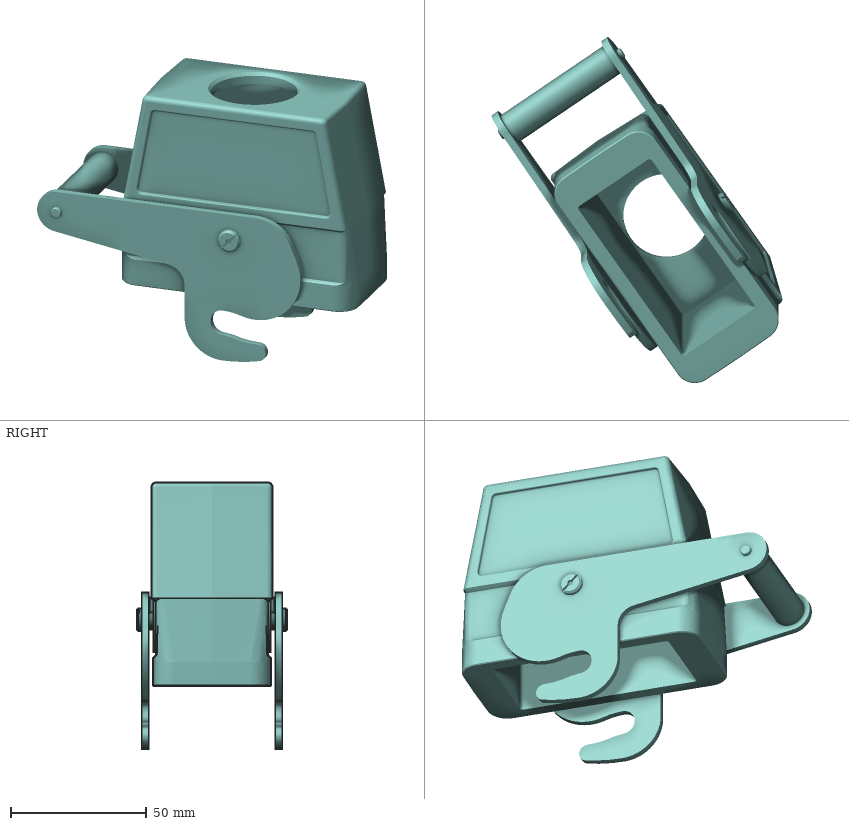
import cadquery as cq
import math


hood_height = 75.5
rim_height = 9.1
bend_height = 32.6
rim_half_length = 46.6
bend_half_length = 45.0
top_half_length = 37.0
rim_half_width = 21.8
shell_half_width = 22.5
rim_prow = 0.2
shell_prow = 1.0
rim_corner_radius = 7.6
bend_corner_radius = 3.9
shell_edge_radius = 2.0
rim_chamfer = 0.4

lip_height = 1.2

pad_half_width = 20.9
pad_end_radius = 2.5
pad_bottom = 11.4
ledge_height = 1.0

boss_diameter = 24.0
boss_face = 21.7

panel_top = 70.5
panel_bottom = 37.1
panel_top_half_length = 32.3
panel_bottom_half_length = 38.3
panel_corner_radius = 1.7
panel_depth = 1.1
panel_edge_radius = 0.5

cavity_half_length = 34.4
cavity_half_width = 16.5
cavity_corner_radius = 1.1
roof_thickness = 4.4

entry_diameter = 32.0
entry_chamfer = 1.1

lever_width = 55.8
plate_outer = 26.0
plate_inner = 23.3
plate_thickness = plate_outer - plate_inner

handle_x = -68.2
handle_z = 26.9
handle_end_radius = 7.9
handle_slope = 9.2
plate_top = handle_z + handle_end_radius

cam_x = 9.8
cam_z = 12.4
cam_radius = 17.9
shoulder_radius = 15.2

neck_x = -17.9
neck_radius = 7.4
neck_top = 4.5
hook_x = -3.0
hook_z = -8.3
hook_outer_radius = hook_x - neck_x
slot_radius = 4.8
hook_bottom = hook_z - hook_outer_radius
hook_throat = (0.4, -13.6)
tip_top = (10.7, -15.2)
tip_end = (14.0, -18.5)
tip_bottom = (11.8, -21.6)

roller_diameter = 12.0
roller_chamfer = 0.2
rivet_diameter = 4.0
rivet_height = 1.5
rivet_chamfer = 0.4

pivot_z = 24.7
pivot_diameter = 5.4
pivot_head_diameter = 8.5
pivot_head_chamfer = 0.7
driver_slot_width = 0.9
driver_slot_depth = 1.1
driver_slot_angle = 45.0
dimple_diameter = 2.2

tolerance = 0.001


def end_outline(z, half_length, half_width, prow, corner_radius=0):
    """Closed wire at height z: a rectangle whose short sides bulge to a shallow point."""
    corner_x = half_length - prow
    outline = cq.Wire.makePolygon([
        cq.Vector(half_length, 0, z),
        cq.Vector(corner_x, half_width, z),
        cq.Vector(-corner_x, half_width, z),
        cq.Vector(-half_length, 0, z),
        cq.Vector(-corner_x, -half_width, z),
        cq.Vector(corner_x, -half_width, z),
    ], close=True)
    if corner_radius:
        corners = [vertex for vertex in outline.Vertices() if abs(vertex.Y) > half_width / 2]
        outline = outline.fillet2D(corner_radius, corners)
    return outline


def ruled_solid(*wires):
    """Solid with straight walls running from wire to wire."""
    return cq.Workplane(obj=cq.Solid.makeLoft(list(wires), True))


def mirrored_pair(solid):
    """The solid together with its mirror image across the middle plane."""
    return solid.union(solid.mirror("XZ"))


def hood_lower_part():
    """Straight rim, tapering skirt above it and the set-back pads on both sides."""
    rim_shape = (rim_half_length, rim_half_width, rim_prow, rim_corner_radius)
    rim = ruled_solid(end_outline(0, *rim_shape), end_outline(rim_height, *rim_shape))
    rim = rim.faces("<Z").edges().chamfer(rim_chamfer)
    skirt = ruled_solid(
        end_outline(rim_height, *rim_shape),
        end_outline(bend_height, bend_half_length, rim_half_width, shell_prow, bend_corner_radius),
    )
    body = rim.union(skirt).cut(mirrored_pair(pad_setback()))
    pad_ends = [
        edge for edge in body.edges().vals()
        if math.isclose(abs(edge.Center().y), pad_half_width, rel_tol=tolerance)
        and edge.BoundingBox().zlen > ledge_height
    ]
    return body.newObject(pad_ends).fillet(pad_end_radius)


def pad_setback():
    """Material removed in front of the -Y pad, leaving a sloping ledge on the rim."""
    return (
        cq.Workplane("YZ", origin=(-rim_half_length, 0, 0))
        .moveTo(-rim_half_width, pad_bottom - ledge_height)
        .lineTo(-pad_half_width, pad_bottom)
        .lineTo(-pad_half_width, bend_height)
        .lineTo(-rim_half_width, bend_height)
        .close()
        .extrude(2 * rim_half_length)
    )


def pivot_bosses():
    """Disc through the hood that leaves a raised boss on each pad."""
    return (
        cq.Workplane("XZ", origin=(0, boss_face, pivot_z))
        .circle(boss_diameter / 2)
        .extrude(2 * boss_face)
    )


def hood_upper_shell():
    """Leaning upper shell with rounded corners and top edges."""
    shell = ruled_solid(
        end_outline(bend_height, bend_half_length, shell_half_width, shell_prow),
        end_outline(hood_height, top_half_length, shell_half_width, shell_prow),
    )
    corner_edges = [
        edge for edge in shell.faces(">Y or <Y").edges().vals()
        if edge.BoundingBox().zlen > shell_edge_radius
    ]
    top_edges = shell.faces(">Z").edges().vals()
    return shell.newObject(corner_edges + top_edges).fillet(shell_edge_radius)


def shell_lip():
    """Sloping underside that brings the shell back to the side pads."""
    slope = math.degrees(math.atan((shell_half_width - pad_half_width) / lip_height))
    outline = (
        cq.Sketch()
        .rect(2 * (bend_half_length - shell_prow), 2 * shell_half_width)
        .vertices().fillet(shell_edge_radius)
    )
    return (
        cq.Workplane("XY", origin=(0, 0, bend_height))
        .placeSketch(outline)
        .extrude(-lip_height, taper=slope)
    )


def side_panel_cut():
    """Recess with rounded corners and a rounded floor edge on the -Y side."""
    outline = (
        cq.Sketch()
        .polygon([
            (-panel_bottom_half_length, panel_bottom), (panel_bottom_half_length, panel_bottom),
            (panel_top_half_length, panel_top), (-panel_top_half_length, panel_top),
            (-panel_bottom_half_length, panel_bottom),
        ])
        .vertices().fillet(panel_corner_radius)
    )
    return (
        cq.Workplane("XZ", origin=(0, -shell_half_width, 0))
        .placeSketch(outline)
        .extrude(-panel_depth)
        .faces(">Y").edges().fillet(panel_edge_radius)
    )


def round_panel_mouths(hood):
    """Rounds the edge where each panel recess meets the flat side of the shell."""
    mouth_edges = [
        edge
        for side in hood.faces(">Y or <Y").vals()
        for mouth in side.innerWires()
        for edge in mouth.Edges()
    ]
    return hood.newObject(mouth_edges).fillet(panel_edge_radius)


def hood_cavity():
    """Straight-sided inner space, open at the bottom."""
    return (
        cq.Workplane("XY")
        .rect(2 * cavity_half_length, 2 * cavity_half_width)
        .extrude(hood_height - roof_thickness)
        .edges("|Z").fillet(cavity_corner_radius)
    )


def cable_entry():
    """Round hole through the roof with a chamfered mouth."""
    entry_radius = entry_diameter / 2
    bore = cq.Workplane("XY").circle(entry_radius).extrude(hood_height)
    countersink = cq.Workplane(obj=cq.Solid.makeCone(
        entry_radius, entry_radius + entry_chamfer, entry_chamfer,
        pnt=cq.Vector(0, 0, hood_height - entry_chamfer)))
    return bore.union(countersink)


def make_hood():
    """Outer shape first, then the inner space and the cable entry."""
    hood = hood_lower_part().union(shell_lip()).union(hood_upper_shell())
    hood = round_panel_mouths(hood.cut(mirrored_pair(side_panel_cut())))
    return hood.union(pivot_bosses()).cut(hood_cavity()).cut(cable_entry())


def on_circle(x, z, radius, degrees):
    """Point on a circle in the XZ plane, measured from +X toward +Z."""
    angle = math.radians(degrees)
    return (x + radius * math.cos(angle), z + radius * math.sin(angle))


def lever_plate():
    """Plate on the -Y side, with the arm to the left and the hook below."""
    arm_angle = -90 - handle_slope
    arm_start = on_circle(handle_x, handle_z, handle_end_radius, arm_angle)
    neck_start = on_circle(neck_x - neck_radius, neck_top, neck_radius, 90 - handle_slope)
    neck_middle = on_circle(neck_x - neck_radius, neck_top, neck_radius, 45 - handle_slope / 2)

    rise = cam_z - (hook_z + slot_radius)
    run = cam_x - hook_x
    slot_exit_radius = (run**2 + rise**2 - cam_radius**2) / (2 * (cam_radius - rise))
    exit_share = slot_exit_radius / (slot_exit_radius + cam_radius)
    exit_centre_z = hook_z + slot_radius - slot_exit_radius
    slot_exit = (hook_x + exit_share * run, exit_centre_z + exit_share * (cam_z - exit_centre_z))

    shoulder_z = plate_top - shoulder_radius
    flank_angle = math.degrees(math.asin((cam_radius - shoulder_radius) / (shoulder_z - cam_z)))

    hook_middle = on_circle(hook_x, hook_z, hook_outer_radius, 225)
    nose_middle = on_circle(cam_x, cam_z, cam_radius, -45)
    shoulder_middle = on_circle(cam_x, shoulder_z, shoulder_radius, 60)

    return (
        cq.Workplane("XZ", origin=(0, -plate_inner, 0))
        .moveTo(cam_x, plate_top)
        .lineTo(handle_x, plate_top)
        .threePointArc((handle_x - handle_end_radius, handle_z), arm_start)
        .lineTo(*neck_start)
        .threePointArc(neck_middle, (neck_x, neck_top))
        .lineTo(neck_x, hook_z)
        .threePointArc(hook_middle, (hook_x, hook_bottom))
        .tangentArcPoint(tip_bottom, relative=False)
        .threePointArc(tip_end, tip_top)
        .tangentArcPoint(hook_throat, relative=False)
        .lineTo(hook_x, hook_z - slot_radius)
        .threePointArc((hook_x - slot_radius, hook_z), (hook_x, hook_z + slot_radius))
        .tangentArcPoint(slot_exit, relative=False)
        .threePointArc(nose_middle, on_circle(cam_x, cam_z, cam_radius, flank_angle))
        .lineTo(*on_circle(cam_x, shoulder_z, shoulder_radius, flank_angle))
        .threePointArc(shoulder_middle, (cam_x, plate_top))
        .close()
        .extrude(plate_thickness)
    )


def handle_rivet():
    """Chamfered rivet end standing out of the -Y plate at the handle."""
    return (
        cq.Workplane("XZ", origin=(handle_x, -plate_outer, handle_z))
        .circle(rivet_diameter / 2)
        .extrude(rivet_height)
        .faces("<Y").chamfer(rivet_chamfer)
    )


def pivot_pin():
    """Pin on the -Y side: its shank bears on the hood, its slotted head on the plate."""
    shank = (
        cq.Workplane("XZ", origin=(0, -boss_face, pivot_z))
        .circle(pivot_diameter / 2)
        .extrude(plate_outer - boss_face)
    )
    head_face = cq.Workplane("XZ", origin=(0, -lever_width / 2, pivot_z))
    head = (
        head_face
        .circle(pivot_head_diameter / 2)
        .extrude(plate_outer - lever_width / 2)
        .faces("<Y").chamfer(pivot_head_chamfer)
    )
    driver_slot = (
        head_face
        .transformed(rotate=(0, 0, driver_slot_angle))
        .rect(pivot_head_diameter, driver_slot_width)
        .extrude(-driver_slot_depth)
    )
    dimple = head_face.circle(dimple_diameter / 2).extrude(-driver_slot_depth)
    return shank.union(head.cut(driver_slot).cut(dimple))


def make_lever():
    """Plates, roller, rivets and pivot pins as one body."""
    roller = (
        cq.Workplane("XZ", origin=(handle_x, plate_inner, handle_z))
        .circle(roller_diameter / 2)
        .extrude(2 * plate_inner)
        .faces("<Y or >Y").chamfer(roller_chamfer)
    )
    pin = pivot_pin()
    opposite_pin = pin.rotate((0, 0, 0), (0, 0, 1), 180)
    sides = mirrored_pair(lever_plate().union(handle_rivet()))
    return roller.union(sides).union(pin).union(opposite_pin)


hood = make_hood()
lever = make_lever()

result = cq.Compound.makeCompound([hood.solids().val(), lever.solids().val()])